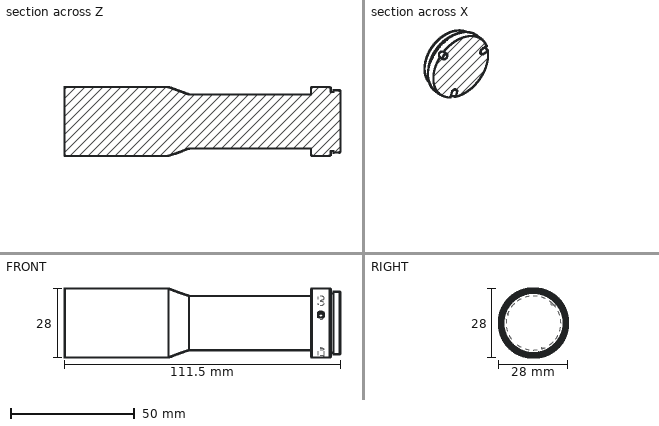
import cadquery as cq
import math

overall_length = 111.5
barrel_length = 42.0
collar_length = 8.0
mount_length = 4.0

barrel_diameter = 28.0
tube_diameter = 22.0
collar_diameter = 28.0
mount_diameter = 25.4
relief_diameter = 24.0

cone_half_angle = 20.0

barrel_chamfer = 0.3
collar_front_chamfer = 0.4
collar_rear_chamfer = 0.5
mount_chamfer = 0.5
relief_width = 1.0

screw_count = 3
screw_hole_diameter = 2.5
screw_hole_depth = 3.0
screw_drill_point_angle = 118.0
first_screw_angle = 46.0
screw_offset = 4.0

cone_length = (barrel_diameter - tube_diameter) / 2 / math.tan(math.radians(cone_half_angle))
mount_start = overall_length - mount_length
collar_start = mount_start - collar_length
screw_x = collar_start + screw_offset
collar_radius = collar_diameter / 2


def frustum(start, length, start_diameter, end_diameter):
    """Solid of revolution about X with straight sides."""
    outline = [
        (start, 0),
        (start, start_diameter / 2),
        (start + length, end_diameter / 2),
        (start + length, 0),
    ]
    return cq.Workplane("XY").polyline(outline).close().revolve(360, (0, 0, 0), (1, 0, 0))


def cylinder(start, length, diameter):
    return frustum(start, length, diameter, diameter)


def make_body():
    """Barrel, cone and slim tube, up to the collar."""
    cone_end = barrel_length + cone_length
    barrel = cylinder(0, barrel_length, barrel_diameter)
    barrel = barrel.faces("<X").chamfer(barrel_chamfer)
    cone = frustum(barrel_length, cone_length, barrel_diameter, tube_diameter)
    tube = cylinder(cone_end, collar_start - cone_end, tube_diameter)
    return barrel.union(cone).union(tube)


def make_collar():
    collar = cylinder(collar_start, collar_length, collar_diameter)
    collar = collar.faces("<X").chamfer(collar_front_chamfer)
    return collar.faces(">X").chamfer(collar_rear_chamfer)


def make_mount():
    """Mount ring with a chamfered end, behind a narrow relief groove."""
    relief = cylinder(mount_start, relief_width, relief_diameter)
    ring = cylinder(mount_start + relief_width, mount_length - relief_width, mount_diameter)
    return relief.union(ring.faces(">X").chamfer(mount_chamfer))


def make_screw_hole(angle):
    """Cutter for one blind radial hole, turned about X from the +Y direction."""
    hole_radius = screw_hole_diameter / 2
    point_height = hole_radius / math.tan(math.radians(screw_drill_point_angle / 2))
    floor = collar_radius - screw_hole_depth
    outline = [
        (screw_x, floor - point_height),
        (screw_x + hole_radius, floor),
        (screw_x + hole_radius, collar_radius + hole_radius),
        (screw_x, collar_radius + hole_radius),
    ]
    cutter = cq.Workplane("XY").polyline(outline).close()
    cutter = cutter.revolve(360, (screw_x, 0, 0), (screw_x, 1, 0))
    return cutter.rotate((0, 0, 0), (1, 0, 0), angle)


def make_part():
    part = make_body().union(make_collar()).union(make_mount())
    for index in range(screw_count):
        part = part.cut(make_screw_hole(first_screw_angle + index * 360 / screw_count))
    return part


result = make_part()